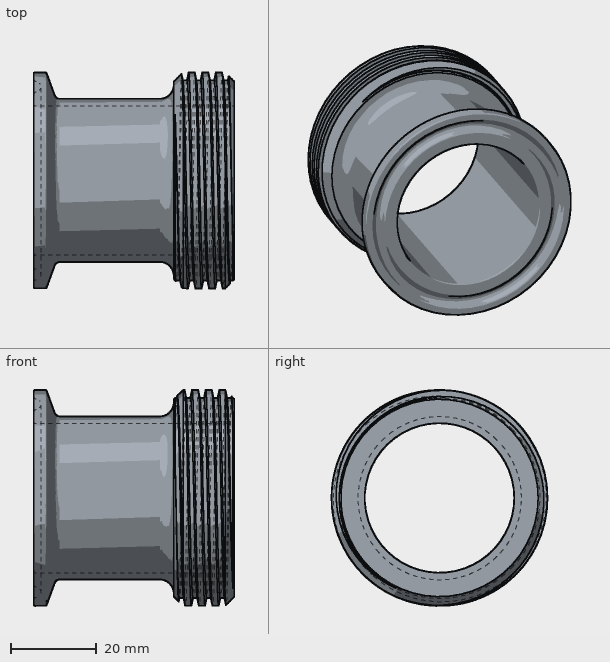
import cadquery as cq
import math

LENGTH = 46.84
BORE_DIAMETER = 34.8
BORE_EDGE_RADIUS = 0.35

TUBE_RADIUS = 38.1 / 2

FLANGE_RADIUS = 50.39 / 2
FLANGE_RIM_END = 3.0
FLANGE_TAPER_DEGREES = 20
FLANGE_EDGE_RADIUS = 0.4
NECK_RADIUS = 1.2

GASKET_GROOVE_CENTRE_RADIUS = 21.9
GASKET_GROOVE_HALF_WIDTH = 1.43
GASKET_GROOVE_FLOOR_HALF_WIDTH = 1.1
GASKET_GROOVE_FLANK_DEGREES = 20
GASKET_GROOVE_EDGE_RADIUS = 0.5

THREAD_CREST_RADIUS = 50.39 / 2
THREAD_ROOT_RADIUS = 46.74 / 2
THREAD_BODY_START = 32.66
THREAD_END_RADIUS = 23.0
SHOULDER_FILLET_RADIUS = 3.175
THREAD_PITCH = 3.175
THREAD_ROOT_WIDTH = 0.98
THREAD_FLANK_DEGREES = 12
THREAD_START = 30.52
THREAD_TURNS = 6
CUTTER_OVERSHOOT = 0.4


def circle_edges(body, x, radius):
    """Circular edges of the body about the X axis at the given station and radius."""
    tolerance = 0.01
    found = [
        edge
        for edge in body.edges("%CIRCLE").vals()
        if abs(edge.Center().x - x) < tolerance and abs(edge.radius() - radius) < tolerance
    ]
    return body.newObject(found)


def turned_blank():
    """Solid outline of the adapter with a full-height thread band, before boring."""
    taper = math.tan(math.radians(FLANGE_TAPER_DEGREES))
    taper_end = FLANGE_RIM_END + (FLANGE_RADIUS - TUBE_RADIUS) * taper
    chamfer = THREAD_CREST_RADIUS - THREAD_END_RADIUS
    outline = [
        (0, 0),
        (0, FLANGE_RADIUS),
        (FLANGE_RIM_END, FLANGE_RADIUS),
        (taper_end, TUBE_RADIUS),
        (THREAD_BODY_START, TUBE_RADIUS),
        (THREAD_BODY_START, THREAD_END_RADIUS),
        (THREAD_BODY_START + chamfer, THREAD_CREST_RADIUS),
        (LENGTH - chamfer, THREAD_CREST_RADIUS),
        (LENGTH, THREAD_END_RADIUS),
        (LENGTH, 0),
    ]
    body = cq.Workplane("XY").polyline(outline).close().revolve(360, (0, 0, 0), (1, 0, 0))
    body = circle_edges(body, THREAD_BODY_START, TUBE_RADIUS).fillet(SHOULDER_FILLET_RADIUS)
    body = circle_edges(body, taper_end, TUBE_RADIUS).fillet(NECK_RADIUS)
    for x in (0, FLANGE_RIM_END):
        body = circle_edges(body, x, FLANGE_RADIUS).fillet(FLANGE_EDGE_RADIUS)
    return body


def cut_bore(body):
    """Through bore with a rounded edge at the flange face."""
    bore_radius = BORE_DIAMETER / 2
    bore = cq.Workplane("YZ").circle(bore_radius).extrude(LENGTH)
    body = body.cut(bore)
    return circle_edges(body, 0, bore_radius).fillet(BORE_EDGE_RADIUS)


def cut_gasket_groove(body):
    """Ring groove in the flange face: sloped flanks tangent to an arc floor, with rounded lips."""
    inner = GASKET_GROOVE_CENTRE_RADIUS - GASKET_GROOVE_HALF_WIDTH
    outer = GASKET_GROOVE_CENTRE_RADIUS + GASKET_GROOVE_HALF_WIDTH
    floor_inner = GASKET_GROOVE_CENTRE_RADIUS - GASKET_GROOVE_FLOOR_HALF_WIDTH
    floor_outer = GASKET_GROOVE_CENTRE_RADIUS + GASKET_GROOVE_FLOOR_HALF_WIDTH
    slope = math.radians(GASKET_GROOVE_FLANK_DEGREES)
    flank_depth = (outer - floor_outer) / math.tan(slope)
    floor_radius = GASKET_GROOVE_FLOOR_HALF_WIDTH / math.cos(slope)
    depth = flank_depth + floor_radius * (1 - math.sin(slope))
    groove = (
        cq.Workplane("XY")
        .moveTo(0, inner)
        .lineTo(flank_depth, floor_inner)
        .threePointArc((depth, GASKET_GROOVE_CENTRE_RADIUS), (flank_depth, floor_outer))
        .lineTo(0, outer)
        .close()
        .revolve(360, (0, 0, 0), (1, 0, 0))
    )
    body = body.cut(groove)
    for radius in (inner, outer):
        body = circle_edges(body, 0, radius).fillet(GASKET_GROOVE_EDGE_RADIUS)
    return body


def thread_turn_cutter():
    """One turn of a right-handed helical groove of trapezoid section, starting on the -Y side."""
    outer_radius = THREAD_CREST_RADIUS + CUTTER_OVERSHOOT
    flank = (outer_radius - THREAD_ROOT_RADIUS) * math.tan(math.radians(THREAD_FLANK_DEGREES))
    half_root = THREAD_ROOT_WIDTH / 2
    half_top = half_root + flank
    path = cq.Wire.makeHelix(THREAD_PITCH, THREAD_PITCH, THREAD_ROOT_RADIUS)
    section = [
        (THREAD_ROOT_RADIUS, -half_root),
        (outer_radius, -half_top),
        (outer_radius, half_top),
        (THREAD_ROOT_RADIUS, half_root),
    ]
    cutter = cq.Workplane("XZ").polyline(section).close().sweep(cq.Workplane(path), isFrenet=True)
    cutter = cutter.rotate((0, 0, 0), (0, 1, 0), 90)
    return cutter.rotate((0, 0, 0), (1, 0, 0), -90)


def cut_thread(body):
    """Thread groove, cut turn by turn so that it runs out through both end chamfers."""
    turn_cutter = thread_turn_cutter()
    for turn in range(THREAD_TURNS):
        body = body.cut(turn_cutter.translate((THREAD_START + turn * THREAD_PITCH, 0, 0)))
    return body


result = turned_blank()
result = cut_bore(result)
result = cut_gasket_groove(result)
result = cut_thread(result)